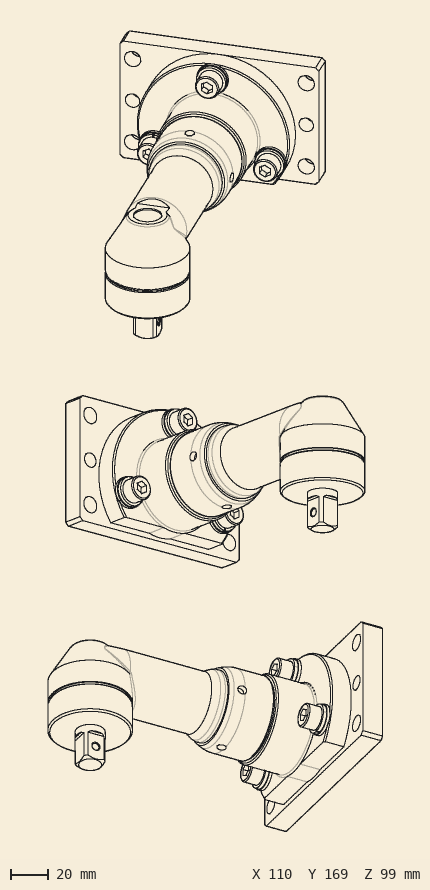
import cadquery as cq
import math


TOTAL_LENGTH = 169.0
TOTAL_HEIGHT = 99.0

PLATE_WIDTH = 110.0
PLATE_TOP = 42.0
PLATE_BOTTOM = -28.0
PLATE_THICKNESS = 12.0
PLATE_CORNER = 1.9
PLATE_HOLE_X = 48.0
PLATE_HOLE_PITCH = 25.0
CORNER_HOLE_DIAMETER = 9.0
MIDDLE_HOLE_DIAMETER = 8.0

FLANGE_RADIUS = 42.0
FLANGE_FACE = 24.0
FLANGE_CHAMFER = 0.8
FLANGE_FLAT = -25.0

SCREW_CIRCLE_RADIUS = 34.0
SCREW_SPREAD = 109.0
WASHER_DIAMETER = 17.0
WASHER_THICKNESS = 1.7
LOCK_WASHER_DIAMETER = 16.0
LOCK_WASHER_THICKNESS = 2.0
LOCK_WASHER_GAP = 0.7
SCREW_HEAD_DIAMETER = 13.0
SCREW_HEAD_HEIGHT = 8.0
SCREW_HEAD_CHAMFER = 0.7
SOCKET_ACROSS_FLATS = 6.0
SOCKET_DEPTH = 4.0
SOCKET_TIP_DEPTH = 1.7

SLEEVE_RADIUS = 25.0
SLEEVE_END = 47.5
SLEEVE_CHAMFER = 0.8
SLEEVE_ROOT_FILLET = 1.0
GROOVE_RADIUS = 22.5
COLLAR_START = 48.5
COLLAR_RADIUS = 23.5
COLLAR_CHAMFER = 0.3
COLLAR_STRAIGHT_END = 65.7
COLLAR_ARC_RADIUS = 22.3
COLLAR_ARC_END = 71.8
COLLAR_END_RADIUS = 21.3
COLLAR_END = 74.4
NECK_RADIUS = 40.0 / 2
NECK_STRAIGHT_END = 75.9
NECK_ARC_RADIUS = 19.5
NECK_ARC_END = 78.5
TUBE_START = 82.6
TUBE_RADIUS = 17.2
TUBE_TAPER_START = 131.5
TUBE_TIP_RADIUS = 16.5
PIN_HOLE_DIAMETER = 4.9
PIN_HOLE_DISTANCE = 67.5
PIN_HOLE_FLOOR = 20.3

HEAD_RADIUS = 45.0 / 2
HEAD_AXIS_Y = HEAD_RADIUS - TOTAL_LENGTH
HEAD_TOP = 14.5
HEAD_TOP_RADIUS = 11.3
HEAD_TOP_CHAMFER = 1.0
CONE_BASE = -5.2
UPPER_BODY_BOTTOM = -18.5
LOWER_BODY_TOP = -19.6
LOWER_BODY_BOTTOM = -36.3
HEAD_GROOVE_DEPTH = 0.7
HEAD_EDGE_CHAMFER = 0.5
HEAD_BOTTOM_CHAMFER = 1.0
CAP_DIAMETER = 15.0
CAP_RECESS = 0.8
FLAT_END_Y = -135.5
JOINT_FILLET = 2.0

SHANK_DIAMETER = 16.0
SHANK_END = -40.2
SQUARE_SIDE = 12.8
SQUARE_SHOULDER = 0.8
SQUARE_END = SCREW_CIRCLE_RADIUS + WASHER_DIAMETER / 2 - TOTAL_HEIGHT
SQUARE_TIP_HEIGHT = 1.4
SQUARE_TIP_RADIUS = 6.0
BALL_HOLE_DIAMETER = 4.0
BALL_HOLE_MOUTH_DIAMETER = 4.9
BALL_HOLE_Z = -48.5

OVERLAP = 1.7


def cylinder_along_arm(x, z, diameter, start, end):
    """Cylinder parallel to the arm between two distances from the back of the plate."""
    plane = cq.Workplane("XZ", origin=(x, -start, z))
    return plane.circle(diameter / 2).extrude(end - start)


def make_plate():
    height = PLATE_TOP - PLATE_BOTTOM
    middle_z = (PLATE_TOP + PLATE_BOTTOM) / 2
    plate = (
        cq.Workplane("XZ", origin=(0, 0, middle_z))
        .rect(PLATE_WIDTH, height)
        .extrude(PLATE_THICKNESS)
        .edges("|Y")
        .chamfer(PLATE_CORNER)
    )
    for side in (-1, 1):
        for row in (-1, 0, 1):
            diameter = MIDDLE_HOLE_DIAMETER if row == 0 else CORNER_HOLE_DIAMETER
            x = side * PLATE_HOLE_X
            z = middle_z + row * PLATE_HOLE_PITCH
            plate = plate.cut(cylinder_along_arm(x, z, diameter, 0, PLATE_THICKNESS))
    return plate


def make_flange():
    disc = cylinder_along_arm(0, 0, 2 * FLANGE_RADIUS, PLATE_THICKNESS, FLANGE_FACE)
    disc = disc.faces("<Y").chamfer(FLANGE_CHAMFER)
    below_flat = (
        cq.Workplane("XY", origin=(0, 0, FLANGE_FLAT))
        .rect(2 * FLANGE_RADIUS, 4 * FLANGE_FACE)
        .extrude(-FLANGE_RADIUS)
    )
    return disc.cut(below_flat)


def make_socket(x, z, mouth):
    """Hexagon socket with a conical bottom, corners pointing up and down."""
    corner_radius = SOCKET_ACROSS_FLATS / math.sqrt(3)
    bottom = mouth - SOCKET_DEPTH
    tip = bottom - SOCKET_TIP_DEPTH
    hexagon = (
        cq.Workplane("XZ", origin=(x, -tip, z))
        .transformed(rotate=(0, 0, 90))
        .polygon(6, 2 * corner_radius)
        .extrude(mouth - tip)
    )
    pointed_bore = (
        cq.Workplane("XY", origin=(x, 0, z))
        .moveTo(0, -tip)
        .lineTo(corner_radius, -bottom)
        .lineTo(corner_radius, -mouth)
        .lineTo(0, -mouth)
        .close()
        .revolve(360, (0, 0, 0), (0, 1, 0))
    )
    return hexagon.intersect(pointed_bore)


def make_screw(angle, gap_side):
    """Screw at an angle on the screw circle; the lock washer gap is above (1) or below (-1) it."""
    x = SCREW_CIRCLE_RADIUS * math.cos(math.radians(angle))
    z = SCREW_CIRCLE_RADIUS * math.sin(math.radians(angle))
    washer_face = FLANGE_FACE + WASHER_THICKNESS
    lock_face = washer_face + LOCK_WASHER_THICKNESS
    head_face = lock_face + SCREW_HEAD_HEIGHT

    washer = cylinder_along_arm(x, z, WASHER_DIAMETER, FLANGE_FACE, washer_face)
    lock_washer = cylinder_along_arm(x, z, LOCK_WASHER_DIAMETER, washer_face, lock_face)
    gap_z = z + gap_side * LOCK_WASHER_DIAMETER / 2
    gap = (
        cq.Workplane("XZ", origin=(x, -washer_face, gap_z))
        .rect(LOCK_WASHER_GAP, LOCK_WASHER_DIAMETER)
        .extrude(LOCK_WASHER_THICKNESS)
    )
    head = cylinder_along_arm(x, z, SCREW_HEAD_DIAMETER, washer_face, head_face)
    head = head.faces("<Y").chamfer(SCREW_HEAD_CHAMFER)
    head = head.cut(make_socket(x, z, head_face))
    return washer.union(lock_washer.cut(gap)).union(head)


def make_arm():
    tube_end = -HEAD_AXIS_Y
    arm = (
        cq.Workplane("XY")
        .moveTo(0, -PLATE_THICKNESS)
        .lineTo(SLEEVE_RADIUS + SLEEVE_ROOT_FILLET, -PLATE_THICKNESS)
        .lineTo(SLEEVE_RADIUS + SLEEVE_ROOT_FILLET, -FLANGE_FACE)
        .radiusArc((SLEEVE_RADIUS, -FLANGE_FACE - SLEEVE_ROOT_FILLET), -SLEEVE_ROOT_FILLET)
        .lineTo(SLEEVE_RADIUS, -SLEEVE_END + SLEEVE_CHAMFER)
        .lineTo(SLEEVE_RADIUS - SLEEVE_CHAMFER, -SLEEVE_END)
        .lineTo(GROOVE_RADIUS, -SLEEVE_END)
        .lineTo(GROOVE_RADIUS, -COLLAR_START)
        .lineTo(COLLAR_RADIUS - COLLAR_CHAMFER, -COLLAR_START)
        .lineTo(COLLAR_RADIUS, -COLLAR_START - COLLAR_CHAMFER)
        .lineTo(COLLAR_RADIUS, -COLLAR_STRAIGHT_END)
        .tangentArcPoint((COLLAR_ARC_RADIUS, -COLLAR_ARC_END), relative=False)
        .lineTo(COLLAR_END_RADIUS, -COLLAR_END)
        .lineTo(NECK_RADIUS, -COLLAR_END)
        .lineTo(NECK_RADIUS, -NECK_STRAIGHT_END)
        .tangentArcPoint((NECK_ARC_RADIUS, -NECK_ARC_END), relative=False)
        .lineTo(TUBE_RADIUS, -TUBE_START)
        .lineTo(TUBE_RADIUS, -TUBE_TAPER_START)
        .lineTo(TUBE_TIP_RADIUS, -tube_end)
        .lineTo(0, -tube_end)
        .close()
        .revolve(360, (0, 0, 0), (0, 1, 0))
    )
    return arm.cut(make_tube_flat())


def make_tube_flat():
    """Cutter for the material above the head: a flat level with the head top, ending in a 45 degree ramp."""
    rise = 2 * (TUBE_RADIUS - HEAD_TOP)
    return (
        cq.Workplane("YZ", origin=(-HEAD_RADIUS, 0, 0))
        .moveTo(FLAT_END_Y, HEAD_TOP)
        .lineTo(FLAT_END_Y + rise, HEAD_TOP + rise)
        .lineTo(HEAD_AXIS_Y - OVERLAP, HEAD_TOP + rise)
        .lineTo(HEAD_AXIS_Y - OVERLAP, HEAD_TOP)
        .close()
        .extrude(2 * HEAD_RADIUS)
    )


def cut_pin_holes(body):
    depth = COLLAR_RADIUS + OVERLAP - PIN_HOLE_FLOOR
    for angle in (0, 90, 180, 270):
        hole = (
            cq.Workplane("XY", origin=(0, -PIN_HOLE_DISTANCE, PIN_HOLE_FLOOR))
            .circle(PIN_HOLE_DIAMETER / 2)
            .extrude(depth)
            .rotate((0, 0, 0), (0, 1, 0), angle)
        )
        body = body.cut(hole)
    return body


def revolve_head(points):
    profile = cq.Workplane("XZ", origin=(0, HEAD_AXIS_Y, 0)).polyline(points).close()
    return profile.revolve(360, (0, 0, 0), (0, 1, 0))


def make_upper_head():
    return revolve_head([
        (0, HEAD_TOP),
        (HEAD_TOP_RADIUS - HEAD_TOP_CHAMFER, HEAD_TOP),
        (HEAD_TOP_RADIUS, HEAD_TOP - HEAD_TOP_CHAMFER),
        (HEAD_RADIUS, CONE_BASE),
        (HEAD_RADIUS, LOWER_BODY_TOP),
        (0, LOWER_BODY_TOP),
    ])


def make_lower_head():
    return revolve_head([
        (0, LOWER_BODY_TOP),
        (HEAD_RADIUS - HEAD_EDGE_CHAMFER, LOWER_BODY_TOP),
        (HEAD_RADIUS, LOWER_BODY_TOP - HEAD_EDGE_CHAMFER),
        (HEAD_RADIUS, LOWER_BODY_BOTTOM + HEAD_BOTTOM_CHAMFER),
        (HEAD_RADIUS - HEAD_BOTTOM_CHAMFER, LOWER_BODY_BOTTOM),
        (0, LOWER_BODY_BOTTOM),
    ])


def make_head_groove():
    return revolve_head([
        (HEAD_RADIUS - HEAD_GROOVE_DEPTH, UPPER_BODY_BOTTOM),
        (HEAD_RADIUS + OVERLAP, UPPER_BODY_BOTTOM),
        (HEAD_RADIUS + OVERLAP, LOWER_BODY_TOP),
        (HEAD_RADIUS - HEAD_GROOVE_DEPTH, LOWER_BODY_TOP),
    ])


def make_square_drive():
    """Round shank milled to a square, with sloped shoulders and a bevelled tip."""
    shank_radius = SHANK_DIAMETER / 2
    shank = revolve_head([
        (0, LOWER_BODY_BOTTOM),
        (shank_radius, LOWER_BODY_BOTTOM),
        (shank_radius, SQUARE_END + SQUARE_TIP_HEIGHT),
        (SQUARE_TIP_RADIUS, SQUARE_END),
        (0, SQUARE_END),
    ])
    square_start = SHANK_END - SQUARE_SHOULDER
    square = (
        cq.Workplane("XY", origin=(0, HEAD_AXIS_Y, SQUARE_END))
        .rect(SQUARE_SIDE, SQUARE_SIDE)
        .extrude(square_start - SQUARE_END)
    )
    shoulder = (
        cq.Workplane("XY", origin=(0, HEAD_AXIS_Y, square_start))
        .rect(SQUARE_SIDE, SQUARE_SIDE)
        .workplane(offset=SQUARE_SHOULDER)
        .rect(SQUARE_SIDE + 2 * SQUARE_SHOULDER, SQUARE_SIDE + 2 * SQUARE_SHOULDER)
        .loft()
    )
    collar = (
        cq.Workplane("XY", origin=(0, HEAD_AXIS_Y, SHANK_END))
        .circle(shank_radius)
        .extrude(LOWER_BODY_BOTTOM - SHANK_END)
    )
    drive = shank.intersect(square.union(shoulder).union(collar))
    return drive.cut(make_ball_hole())


def make_ball_hole():
    """Cross hole along X with a countersunk mouth on both sides of the square."""
    mouth = SQUARE_SIDE / 2
    sink = (BALL_HOLE_MOUTH_DIAMETER - BALL_HOLE_DIAMETER) / 2
    return (
        cq.Workplane("XY", origin=(0, HEAD_AXIS_Y, BALL_HOLE_Z))
        .moveTo(-mouth, 0)
        .lineTo(-mouth, BALL_HOLE_MOUTH_DIAMETER / 2)
        .lineTo(-mouth + sink, BALL_HOLE_DIAMETER / 2)
        .lineTo(mouth - sink, BALL_HOLE_DIAMETER / 2)
        .lineTo(mouth, BALL_HOLE_MOUTH_DIAMETER / 2)
        .lineTo(mouth, 0)
        .close()
        .revolve(360, (0, 0, 0), (1, 0, 0))
    )


def join_arm_and_head():
    """Union of the arm and the upper head, with a fillet along the seam between them."""
    body = make_arm().union(make_upper_head())
    seam = cq.selectors.BoxSelector(
        (-HEAD_RADIUS, HEAD_AXIS_Y, LOWER_BODY_TOP),
        (HEAD_RADIUS, -TUBE_START - OVERLAP, HEAD_TOP - HEAD_TOP_CHAMFER),
    )
    return body.edges(seam).edges("%BSPLINE").fillet(JOINT_FILLET)


def make_cap_recess():
    recess = cq.Workplane("XY", origin=(0, HEAD_AXIS_Y, HEAD_TOP)).circle(CAP_DIAMETER / 2)
    return recess.extrude(-CAP_RECESS)


result = cut_pin_holes(join_arm_and_head())
result = result.cut(make_head_groove()).cut(make_cap_recess())
result = result.union(make_lower_head()).union(make_square_drive())
result = result.union(make_plate()).union(make_flange())
for screw_angle, screw_gap_side in ((90, -1), (90 + SCREW_SPREAD, 1), (90 - SCREW_SPREAD, -1)):
    result = result.union(make_screw(screw_angle, screw_gap_side))